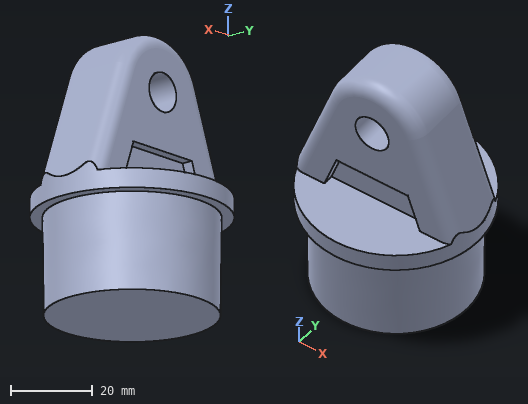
import cadquery as cq
import math

total_height = 70.0
flange_diameter = 50.0
flange_thickness = 5.0
plug_height = 25.0
plug_top_diameter = 43.8
plug_bottom_diameter = 43.25

lug_thickness = 20.0
lug_top_radius = 15.0
lug_edge_fillet = 4.0
hole_diameter = 10.0

recess_height = 10.0
recess_depth = 3.0
recess_side_wall = 10.0

flange_radius = flange_diameter / 2
flange_top = plug_height + flange_thickness
eye_height = total_height - lug_top_radius

eye_above_flange = eye_height - flange_top
eye_to_foot = math.hypot(flange_radius, eye_above_flange)
tangent_angle = math.acos(lug_top_radius / eye_to_foot) - math.atan2(eye_above_flange, flange_radius)
tangent_x = lug_top_radius * math.cos(tangent_angle)
tangent_z = eye_height + lug_top_radius * math.sin(tangent_angle)
side_slope = math.tan(tangent_angle)


def lug_half_width(z):
    """Half width of the straight-sided part of the lug at height z."""
    return flange_radius - (z - flange_top) * side_slope


def centred_prism(outline, thickness):
    """Extrude an XZ outline equally to both sides of the XZ plane."""
    return outline.extrude(thickness / 2, both=True)


def make_plug():
    return (
        cq.Workplane("XY")
        .circle(plug_bottom_diameter / 2)
        .workplane(offset=plug_height)
        .circle(plug_top_diameter / 2)
        .loft(combine=True)
    )


def make_flange():
    return cq.Workplane("XY").workplane(offset=plug_height).circle(flange_radius).extrude(flange_thickness)


def make_lug():
    foot_z = plug_height
    outline = (
        cq.Workplane("XZ")
        .moveTo(-lug_half_width(foot_z), foot_z)
        .lineTo(lug_half_width(foot_z), foot_z)
        .lineTo(tangent_x, tangent_z)
        .threePointArc((0, total_height), (-tangent_x, tangent_z))
        .close()
    )
    lug = centred_prism(outline, lug_thickness)
    lug = lug.faces("|Y").edges("not(<Z)").fillet(lug_edge_fillet)

    envelope = cq.Workplane("XY").circle(flange_radius).extrude(total_height)
    return lug.intersect(envelope)


def make_eye_hole():
    outline = cq.Workplane("XZ").center(0, eye_height).circle(hole_diameter / 2)
    return centred_prism(outline, lug_thickness)


def make_recesses():
    inset = recess_side_wall / math.cos(tangent_angle)
    recess_top = flange_top + recess_height
    bottom_half = lug_half_width(flange_top) - inset
    top_half = lug_half_width(recess_top) - inset
    outline = cq.Workplane("XZ").polyline([
        (-bottom_half, flange_top),
        (bottom_half, flange_top),
        (top_half, recess_top),
        (-top_half, recess_top),
    ]).close()
    web_thickness = lug_thickness - 2 * recess_depth
    web = cq.Workplane("XY").box(flange_diameter, web_thickness, 2 * total_height)
    return centred_prism(outline, lug_thickness).cut(web)


result = (
    make_plug()
    .union(make_flange())
    .union(make_lug())
    .cut(make_eye_hole())
    .cut(make_recesses())
)